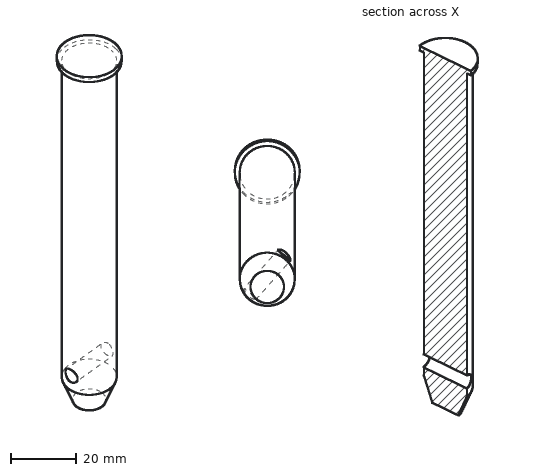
import cadquery as cq

total_length = 139.0
head_diameter = 20.0
head_thickness = 2.0
shank_diameter = 17.0

tip_diameter = 10.3
taper_height = 9.2

cross_hole_diameter = 5.0
cross_hole_height = 15.0


def pin_body():
    """Revolve the half profile of the tapered tip, shank and flat head."""
    head_radius = head_diameter / 2
    shank_radius = shank_diameter / 2
    head_bottom = total_length - head_thickness
    return (
        cq.Workplane("XZ")
        .moveTo(0, 0)
        .lineTo(tip_diameter / 2, 0)
        .lineTo(shank_radius, taper_height)
        .lineTo(shank_radius, head_bottom)
        .lineTo(head_radius, head_bottom)
        .lineTo(head_radius, total_length)
        .lineTo(0, total_length)
        .close()
        .revolve(360, (0, 0), (0, 1))
    )


def cross_hole():
    """Cylinder that passes through the whole shank along Y."""
    return (
        cq.Workplane("XZ")
        .center(0, cross_hole_height)
        .circle(cross_hole_diameter / 2)
        .extrude(shank_diameter, both=True)
    )


result = pin_body().cut(cross_hole())